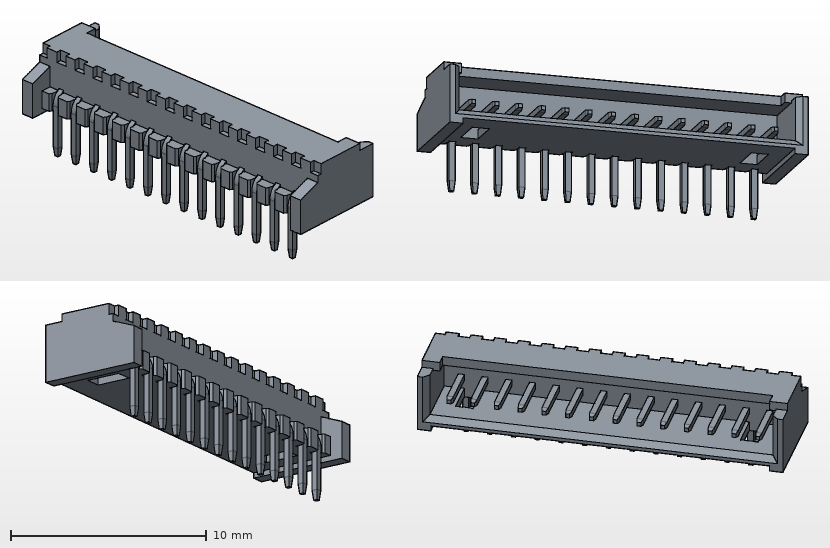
import cadquery as cq


pin_count = 14
row_span = 16.25
pitch = row_span / (pin_count - 1)
pin_size = 0.33
pin_positions = [(i - (pin_count - 1) / 2) * pitch for i in range(pin_count)]

length = 19.25
half_length = length / 2
depth = 4.2
height = 3.5
underside = 0.29
floor_thickness = 0.5
roof_thickness = 0.5
front_wall = 0.8
side_wall = 0.6
mouth_chamfer = 0.3
end_step_depth = 1.0
end_step_drop = 0.4
roof_cutback = 1.64
roof_cutback_margin = 0.95

plate_thickness = 0.71
plate_reach = 1.3
plate_slope_top = 2.5
plate_slope_bottom = 2.0

notch_width = 0.62
notch_depth = 0.29
notch_height = 0.6
end_notch_width = 0.5
end_notch_depth = 0.25

comb_top = 1.3
comb_reach = 0.6
flare_start = 0.46
gap_at_wall = pin_size
gap_at_flare = 0.45
gap_at_front = 0.65

slot_width = pitch - pin_size
slot_setback = 1.46

pin_front = 0.45
bend_radius = 0.96
bend_center_z = 0.64
pin_bottom = -2.3
contact_setback = 0.7
pin_back = depth - contact_setback
tail_taper = 0.52
tip_taper = 0.29
tip_size = 0.21


def box(x0, x1, y0, y1, z0, z1):
    return cq.Workplane("XY").box(x1 - x0, y1 - y0, z1 - z0, centered=False).translate((x0, y0, z0))


def make_shell():
    """Closed block between the end plates, with the end plates themselves."""
    block = box(-half_length, half_length, 0, depth, underside, height)
    profile = [
        (depth, 0),
        (depth, height),
        (0, height),
        (0, plate_slope_top),
        (-plate_reach, plate_slope_bottom),
        (-plate_reach, 0),
    ]
    for start in (-half_length, half_length - plate_thickness):
        plate = cq.Workplane("YZ").polyline(profile).close().extrude(plate_thickness)
        block = block.union(plate.translate((start, 0, 0)))
    return block


def cut_cavity(body):
    """Hollow the shroud from the back, step its roof and bevel the mouth."""
    floor = underside + floor_thickness
    ceiling = height - roof_thickness
    half_width = half_length - side_wall
    body = body.cut(box(-half_width, half_width, front_wall, depth, floor, ceiling))

    step_z = height - end_step_drop
    body = body.cut(box(-half_length, half_length, depth - end_step_depth, depth, step_z, height))
    body = body.cut(box(-half_width, half_width, depth - end_step_depth, depth, floor, height))
    half_cutback = half_length - roof_cutback_margin
    body = body.cut(box(-half_cutback, half_cutback, depth - roof_cutback, depth, floor, height))

    mouth = (
        cq.Workplane("XZ", origin=(0, depth, 0))
        .center(0, floor - mouth_chamfer + height / 2)
        .rect(2 * (half_width + mouth_chamfer), height)
        .workplane(offset=mouth_chamfer)
        .center(0, mouth_chamfer)
        .rect(2 * half_width, height)
        .loft()
    )
    return body.cut(mouth)


def cut_notches(body):
    """Notches over each pin, plus a shallower one at either end."""
    bottom = height - notch_height
    for x in pin_positions:
        body = body.cut(box(x - notch_width / 2, x + notch_width / 2, 0, notch_depth, bottom, height))
    for x in (-half_length, half_length - end_notch_width):
        body = body.cut(box(x, x + end_notch_width, 0, end_notch_depth, bottom, height))
    return body


def cut_floor_slots(body):
    """Slots between the outermost two pins at each end."""
    slot_center = pin_positions[-1] - pitch / 2
    for x in (-slot_center, slot_center):
        slot = box(x - slot_width / 2, x + slot_width / 2, front_wall, depth - slot_setback, 0, height / 2)
        body = body.cut(slot)
    return body


def make_comb():
    """Bar across the front face with a flared gap at each pin."""
    reach_x = half_length - plate_thickness
    comb = box(-reach_x, reach_x, -comb_reach, 0, underside, comb_top)
    right_edge = [
        (gap_at_wall / 2, 0),
        (gap_at_flare / 2, -flare_start),
        (gap_at_front / 2, -comb_reach),
    ]
    left_edge = [(-x, y) for x, y in reversed(right_edge)]
    gap = cq.Workplane("XY").polyline(right_edge + left_edge).close().extrude(height)
    for x in pin_positions:
        comb = comb.cut(gap.translate((x, 0, 0)))
    return comb


def make_pin():
    """Square wire bent down through a right angle, tapered at both ends."""
    bend_y = bend_radius - pin_front
    middle_z = bend_center_z + bend_radius - pin_size / 2
    middle_y = -pin_front + pin_size / 2
    bend = (
        cq.Workplane("YZ")
        .center(bend_y, bend_center_z)
        .circle(bend_radius)
        .circle(bend_radius - pin_size)
        .extrude(pin_size / 2, both=True)
        .intersect(box(-pin_size, pin_size, -pin_front, bend_y, bend_center_z, height))
    )
    tail = (
        cq.Workplane("XY", origin=(0, middle_y, bend_center_z))
        .rect(pin_size, pin_size)
        .extrude(pin_bottom + tail_taper - bend_center_z)
    )
    tail_end = (
        cq.Workplane("XY", origin=(0, middle_y, pin_bottom))
        .rect(tip_size, tip_size)
        .workplane(offset=tail_taper)
        .rect(pin_size, pin_size)
        .loft()
    )
    contact = (
        cq.Workplane("XZ", origin=(0, bend_y, middle_z))
        .rect(pin_size, pin_size)
        .extrude(bend_y - (pin_back - tip_taper))
    )
    contact_end = (
        cq.Workplane("XZ", origin=(0, pin_back, middle_z))
        .rect(tip_size, tip_size)
        .workplane(offset=tip_taper)
        .rect(pin_size, pin_size)
        .loft()
    )
    return bend.union(tail).union(tail_end).union(contact).union(contact_end)


shroud = cut_floor_slots(cut_notches(cut_cavity(make_shell()))).union(make_comb())
pin = make_pin()
for pin_x in pin_positions:
    shroud = shroud.union(pin.translate((pin_x, 0, 0)))
result = shroud